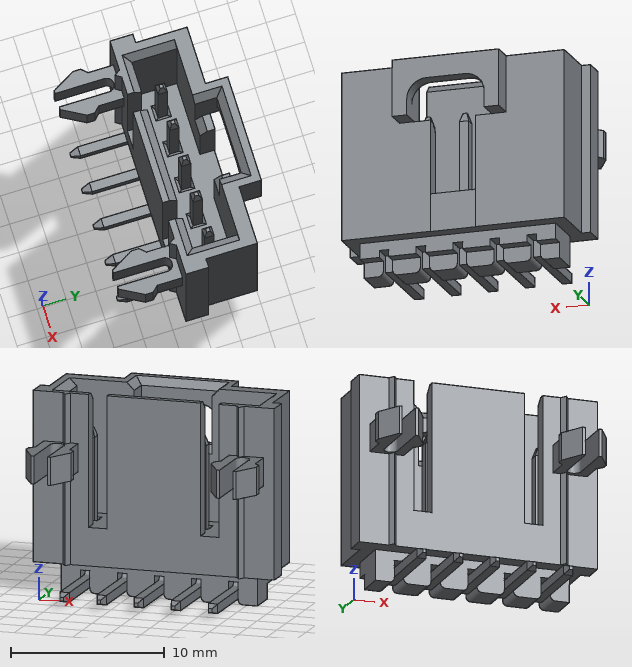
import cadquery as cq


CONTACT_COUNT = 5
PITCH = 2.54
PIN = 0.64
PIN_TIP = 0.25
PIN_TIP_LENGTH = 0.6
PIN_EXPOSED = 6.1
TAIL_Z = -12.9
TAIL_END_Y = -6.2
BEND_RADIUS = 0.3

RIM_Z = 0.0
BASE_Z = -11.48
FLOOR_Z = -8.9
BODY_WIDTH = 15.3
FRONT_Y = -2.5
BACK_Y = 2.57
FLANGE_WIDTH = 16.51
FLANGE_BACK_Y = -0.94
CAVITY_WIDTH = 13.16
CAVITY_HALF_DEPTH = 1.53
LEAD_IN = 0.51
LEAD_IN_HEIGHT = 0.51

LATCH_WIDTH = 7.32
LATCH_BACK_Y = 4.09
LATCH_Z = -3.86
LATCH_CAVITY_WIDTH = 5.32
LATCH_CAVITY_BACK_Y = 3.03
WINDOW_TOP_Z = -1.45
WINDOW_RADIUS = 1.35
BACK_SLOT_WIDTH = 3.1
BACK_SLOT_Y = 2.52

FRONT_SLOT_INNER_X = 3.2
FRONT_SLOT_OUTER_X = 4.47
RIB_X = 5.95
RIB_WIDTH = 0.5
RIB_HEIGHT = 0.4

FUNNEL_WIDTH = 1.06
FUNNEL_DEPTH = 0.22

FOOT_WIDTH = 13.44
FOOT_FRONT_Y = -1.36
FOOT_BACK_Y = 1.57
FOOT_Z = -13.59
FOOT_STEP_Y = 0.75
FOOT_STEP_Z = -12.55
NOTCH_TOP_Z = -12.08
NOTCH_RADIUS = 0.35

CLIP_X = CONTACT_COUNT / 2 * PITCH
CLIP_TOP_Z = -3.34
CLIP_HEIGHT = 1.88
CLIP_STEM_HALF = 1.177
CLIP_BARB_HALF = 1.545
CLIP_TIP_HALF = 0.67
CLIP_SLOT_HALF = 0.47
CLIP_STEM_END_Y = -4.22
CLIP_BARB_START_Y = -4.62
CLIP_BARB_END_Y = -5.14
CLIP_TIP_Y = -6.7
CLIP_SLOT_END_Y = -2.85

CONTACT_XS = [(i - (CONTACT_COUNT - 1) / 2) * PITCH for i in range(CONTACT_COUNT)]


def block(x0, x1, y0, y1, z0, z1):
    """Box given by its limits along each axis."""
    return cq.Workplane("XY").box(x1 - x0, y1 - y0, z1 - z0, centered=False).translate((x0, y0, z0))


def centred_block(width, y0, y1, z0, z1):
    """Box centred on X = 0."""
    return block(-width / 2, width / 2, y0, y1, z0, z1)


def frustum(z0, size0, z1, size1):
    """Square frustum on the Z axis."""
    return (
        cq.Workplane("XY", origin=(0, 0, z0)).rect(size0, size0)
        .workplane(offset=z1 - z0).rect(size1, size1)
        .loft(ruled=True)
    )


def lead_in(width, y0, y1, front_run, back_run, side_run, z_top):
    """Flared mouth below z_top; each run is how far that side widens on the way up."""
    mid_low = (y0 + y1) / 2
    mid_high = (y0 - front_run + y1 + back_run) / 2
    return (
        cq.Workplane("XY", origin=(0, 0, z_top - LEAD_IN_HEIGHT))
        .center(0, mid_low).rect(width, y1 - y0)
        .workplane(offset=LEAD_IN_HEIGHT).center(0, mid_high - mid_low)
        .rect(width + 2 * side_run, y1 - y0 + front_run + back_run)
        .loft(ruled=True)
    )


def shroud():
    """Outer walls: body, side flanges and latch housing."""
    body = centred_block(BODY_WIDTH, FRONT_Y, BACK_Y, BASE_Z, RIM_Z)
    flange = centred_block(FLANGE_WIDTH, FRONT_Y, FLANGE_BACK_Y, BASE_Z, RIM_Z)
    latch = centred_block(LATCH_WIDTH, FLANGE_BACK_Y, LATCH_BACK_Y, LATCH_Z, RIM_Z)
    return body.union(flange).union(latch)


def cavity():
    """Mating cavity with lead-ins on its front and ends; the back wall stays straight."""
    depth = CAVITY_HALF_DEPTH
    straight = centred_block(CAVITY_WIDTH, -depth, depth, FLOOR_Z, RIM_Z)
    return straight.union(lead_in(CAVITY_WIDTH, -depth, depth, LEAD_IN, 0, LEAD_IN, RIM_Z))


def latch_openings():
    """Space behind the cavity for the mating latch: pocket, rear window and slot to the floor."""
    width = LATCH_CAVITY_WIDTH
    back = LATCH_CAVITY_BACK_Y
    pocket = centred_block(width, 0, back, LATCH_Z, RIM_Z)
    mouth = lead_in(width, 0, back, 0, LEAD_IN, LEAD_IN, RIM_Z)
    window = (
        centred_block(width, 0, LATCH_BACK_Y, LATCH_Z, WINDOW_TOP_Z)
        .edges("|Y and >Z").fillet(WINDOW_RADIUS)
    )
    slot = centred_block(BACK_SLOT_WIDTH, 0, BACK_SLOT_Y, FLOOR_Z, LATCH_Z)
    slot_exit = centred_block(BACK_SLOT_WIDTH, BACK_SLOT_Y, BACK_Y, BASE_Z, LATCH_Z)
    ledge_chamfer = (
        cq.Workplane("YZ", origin=(-width / 2, 0, 0))
        .moveTo(CAVITY_HALF_DEPTH, LATCH_Z)
        .lineTo(CAVITY_HALF_DEPTH + LEAD_IN, LATCH_Z)
        .lineTo(CAVITY_HALF_DEPTH, LATCH_Z - LEAD_IN_HEIGHT)
        .close().extrude(width)
    )
    return pocket.union(mouth).union(window).union(slot).union(slot_exit).union(ledge_chamfer)


def front_slot(side):
    """Open slot through the front wall, beside the middle panel."""
    inner = side * FRONT_SLOT_INNER_X
    outer = side * FRONT_SLOT_OUTER_X
    return block(min(inner, outer), max(inner, outer), FRONT_Y, 0, FLOOR_Z, RIM_Z)


def crush_rib(side):
    """Full-height V rib on the front face."""
    x = side * RIB_X
    return (
        cq.Workplane("XY", origin=(0, 0, BASE_Z))
        .moveTo(x - RIB_WIDTH / 2, FRONT_Y)
        .lineTo(x, FRONT_Y - RIB_HEIGHT)
        .lineTo(x + RIB_WIDTH / 2, FRONT_Y)
        .close().extrude(RIM_Z - BASE_Z)
    )


def foot():
    """Stepped block under the shroud that holds the contact bends."""
    return (
        cq.Workplane("YZ", origin=(-FOOT_WIDTH / 2, 0, 0))
        .moveTo(FOOT_FRONT_Y, BASE_Z)
        .lineTo(FOOT_FRONT_Y, FOOT_Z)
        .lineTo(FOOT_STEP_Y, FOOT_Z)
        .lineTo(FOOT_STEP_Y, FOOT_STEP_Z)
        .lineTo(FOOT_BACK_Y, FOOT_STEP_Z)
        .lineTo(FOOT_BACK_Y, BASE_Z)
        .close().extrude(FOOT_WIDTH)
    )


def foot_notch(x):
    """Notch through the foot around one contact tail, with rounded corners at its mouth."""
    half = PIN / 2
    wide = half + NOTCH_RADIUS
    shoulder_z = FOOT_Z + NOTCH_RADIUS
    return (
        cq.Workplane("XZ", origin=(x, FOOT_BACK_Y, 0))
        .moveTo(-half, NOTCH_TOP_Z)
        .lineTo(half, NOTCH_TOP_Z)
        .lineTo(half, shoulder_z)
        .radiusArc((wide, FOOT_Z), -NOTCH_RADIUS)
        .lineTo(-wide, FOOT_Z)
        .radiusArc((-half, shoulder_z), -NOTCH_RADIUS)
        .close().extrude(FOOT_BACK_Y - FOOT_FRONT_Y)
    )


def board_clip(side):
    """Split barbed peg on the front face."""
    half_outline = [
        (CLIP_STEM_HALF, FRONT_Y),
        (CLIP_STEM_HALF, CLIP_STEM_END_Y),
        (CLIP_BARB_HALF, CLIP_BARB_START_Y),
        (CLIP_BARB_HALF, CLIP_BARB_END_Y),
        (CLIP_TIP_HALF, CLIP_TIP_Y),
    ]
    mirrored = [(-x, y) for x, y in reversed(half_outline)]
    peg = cq.Workplane("XY").polyline(half_outline + mirrored).close().extrude(CLIP_HEIGHT)
    arc_start_y = CLIP_SLOT_END_Y - CLIP_SLOT_HALF
    split = (
        cq.Workplane("XY")
        .moveTo(-CLIP_SLOT_HALF, CLIP_TIP_Y)
        .lineTo(-CLIP_SLOT_HALF, arc_start_y)
        .threePointArc((0, CLIP_SLOT_END_Y), (CLIP_SLOT_HALF, arc_start_y))
        .lineTo(CLIP_SLOT_HALF, CLIP_TIP_Y)
        .close().extrude(CLIP_HEIGHT)
    )
    return peg.cut(split).translate((side * CLIP_X, 0, CLIP_TOP_Z - CLIP_HEIGHT))


def contact(x):
    """Bent square pin with a pointed tip at both ends."""
    half = PIN / 2
    tip_z = FLOOR_Z + PIN_EXPOSED
    post = centred_block(PIN, -half, half, TAIL_Z - half, tip_z - PIN_TIP_LENGTH)
    post_tip = frustum(tip_z - PIN_TIP_LENGTH, PIN, tip_z, PIN_TIP)
    tail = centred_block(PIN, TAIL_END_Y + PIN_TIP_LENGTH, half, TAIL_Z - half, TAIL_Z + half)
    tail_tip = (
        frustum(0, PIN, PIN_TIP_LENGTH, PIN_TIP)
        .rotate((0, 0, 0), (1, 0, 0), 90)
        .translate((0, TAIL_END_Y + PIN_TIP_LENGTH, TAIL_Z))
    )
    bend = (
        cq.Workplane("YZ", origin=(-half, 0, 0))
        .moveTo(-half, TAIL_Z + half)
        .lineTo(-half - BEND_RADIUS, TAIL_Z + half)
        .radiusArc((-half, TAIL_Z + half + BEND_RADIUS), -BEND_RADIUS)
        .close().extrude(PIN)
    )
    return post.union(post_tip).union(tail).union(tail_tip).union(bend).translate((x, 0, 0))


housing = shroud().cut(cavity()).cut(latch_openings()).union(foot())
for side in (-1, 1):
    housing = housing.cut(front_slot(side)).union(crush_rib(side)).union(board_clip(side))

funnel = frustum(FLOOR_Z - FUNNEL_DEPTH, PIN, FLOOR_Z, FUNNEL_WIDTH)
for x in CONTACT_XS:
    housing = housing.cut(foot_notch(x)).cut(funnel.translate((x, 0, 0)))

result = housing
for x in CONTACT_XS:
    result = result.union(contact(x))